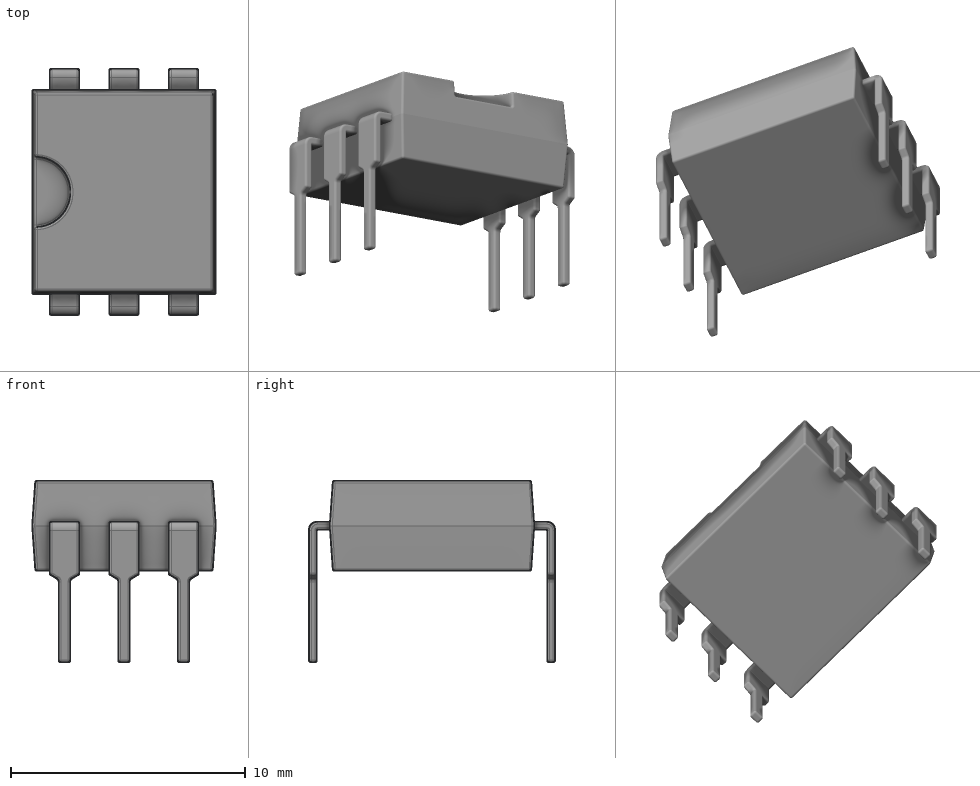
import cadquery as cq
import math


body_length_x = 7.84
body_length_y = 8.73
body_half_height = 1.925
draft_angle = 4.0
edge_radius = 0.1

notch_radius = 1.5
notch_depth = 0.7

leads_per_row = 3
lead_pitch = 2.54
row_spacing = 10.16
lead_thickness = 0.35
shoulder_width = 1.27
tip_width = 0.5
overall_height = 7.75
shoulder_drop = 4.0
taper_angle = 30.0
taper_root_radius = 0.15
lead_edge_radius = 0.1
bend_inner_radius = 0.02

lead_insertion = 0.3

top_z = body_half_height
tip_z = top_z - overall_height
shoulder_z = top_z - shoulder_drop
taper_height = (shoulder_width - tip_width) / 2 * math.tan(math.radians(taper_angle))
taper_end_z = shoulder_z - taper_height
lead_outer_y = (row_spacing + lead_thickness) / 2
lead_inner_y = lead_outer_y - lead_thickness
lead_root_y = body_length_y / 2 - lead_insertion
lead_top_z = lead_thickness / 2
bend_outer_radius = bend_inner_radius + lead_thickness
top_edge_x = -body_length_x / 2 + body_half_height * math.tan(math.radians(draft_angle))


def body_half(direction):
    """Half of the body, tapering away from the parting plane up (1) or down (-1)."""
    return (
        cq.Workplane("XY")
        .rect(body_length_x, body_length_y)
        .extrude(direction * body_half_height, taper=draft_angle)
    )


def make_body():
    """Drafted body with a semicircular notch in the -X end and every outer edge rounded."""
    notch = (
        cq.Workplane("XY", origin=(top_edge_x, 0, top_z - notch_depth))
        .circle(notch_radius)
        .extrude(body_half_height)
    )
    upper = body_half(1).cut(notch)
    upper = upper.edges("not(<Z)").fillet(edge_radius)
    lower = body_half(-1).edges("not(>Z)").fillet(edge_radius)
    return upper.union(lower, clean=False)


def corner(x, y, z):
    """Selector for the edge whose middle lies nearest to a point."""
    return cq.selectors.NearestToPointSelector((x, y, z))


def bent_strip():
    """Full-width strip that leaves the body along -Y and turns straight down."""
    strip = (
        cq.Workplane("YZ")
        .moveTo(-lead_root_y, lead_top_z)
        .lineTo(-lead_outer_y, lead_top_z)
        .lineTo(-lead_outer_y, tip_z)
        .lineTo(-lead_inner_y, tip_z)
        .lineTo(-lead_inner_y, -lead_top_z)
        .lineTo(-lead_root_y, -lead_top_z)
        .close()
        .extrude(shoulder_width / 2, both=True)
    )
    strip = strip.edges("|X").edges(corner(0, -lead_outer_y, lead_top_z)).fillet(bend_outer_radius)
    return strip.edges("|X").edges(corner(0, -lead_inner_y, -lead_top_z)).fillet(bend_inner_radius)


def lead_outline():
    """Block with the front outline of a lead: wide shoulder, taper, narrow tip."""
    block = (
        cq.Workplane("XZ")
        .moveTo(-shoulder_width / 2, lead_top_z)
        .lineTo(shoulder_width / 2, lead_top_z)
        .lineTo(shoulder_width / 2, shoulder_z)
        .lineTo(tip_width / 2, taper_end_z)
        .lineTo(tip_width / 2, tip_z)
        .lineTo(-tip_width / 2, tip_z)
        .lineTo(-tip_width / 2, taper_end_z)
        .lineTo(-shoulder_width / 2, shoulder_z)
        .close()
        .extrude(lead_outer_y)
    )
    for side in (-1, 1):
        taper_root = corner(side * tip_width / 2, -lead_outer_y / 2, taper_end_z)
        block = block.edges("|Y").edges(taper_root).fillet(taper_root_radius)
    return block


def make_lead(body):
    """Lead of the -Y row at X = 0, ending against the side faces of the body."""
    lead = bent_strip().intersect(lead_outline())

    bend_box = cq.selectors.BoxSelector(
        (-shoulder_width, -lead_outer_y - lead_thickness, -bend_outer_radius),
        (shoulder_width, -lead_inner_y + lead_thickness, lead_thickness),
    )
    taper_root_box = cq.selectors.BoxSelector(
        (-tip_width, -lead_outer_y, taper_end_z - taper_height),
        (tip_width, -lead_inner_y, taper_end_z + taper_height / 2),
    )
    root_box = cq.selectors.BoxSelector(
        (-shoulder_width, -lead_root_y - lead_insertion / 2, -lead_thickness),
        (shoulder_width, -lead_root_y + lead_insertion / 2, lead_thickness),
    )
    along_x = cq.selectors.ParallelDirSelector(cq.Vector(1, 0, 0))
    along_y = cq.selectors.ParallelDirSelector(cq.Vector(0, 1, 0))
    smooth_seams = (along_x & bend_box) + (along_y & taper_root_box)
    sharp_edges = cq.Selector() - smooth_seams - root_box
    lead = lead.edges(sharp_edges).fillet(lead_edge_radius)

    return lead.cut(body)


body = make_body()
lead = make_lead(body)

leads = []
for row_turn in (0, 180):
    row_lead = lead.rotate((0, 0, 0), (0, 0, 1), row_turn)
    for index in range(leads_per_row):
        lead_x = (index - (leads_per_row - 1) / 2) * lead_pitch
        leads.append(row_lead.translate((lead_x, 0, 0)).val())

result = cq.Compound.makeCompound([body.val(), *leads])